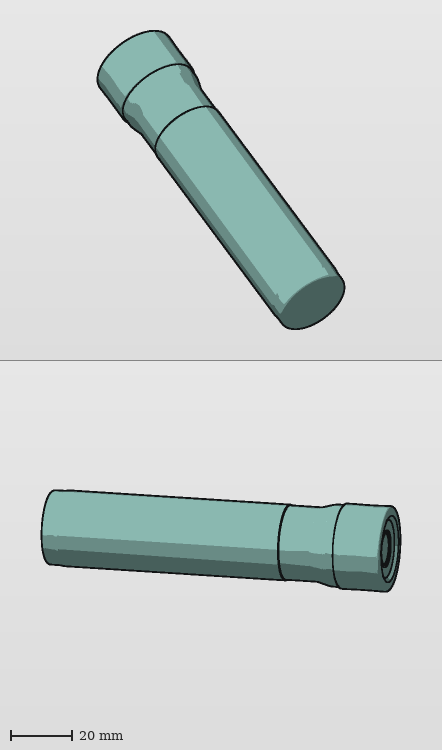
import cadquery as cq
import math

TOTAL_LENGTH = 115.0

RIM_RADIUS = 28.2 / 2
RIM_TAPER = 0.06
COLLAR_RADIUS = 27.0 / 2
NECK_RADIUS = 24.5 / 2
FRONT_EDGE_FILLET = 0.7
FRONT_BAND_END = 1.3
REAR_BAND_START = 13.1
RIM_END = 15.8
RIM_REAR_FILLET = 0.5
COLLAR_END = 18.3
TAPER_START = 19.7
TAPER_END = 23.1
NECK_START = 24.1
TAPER_ANGLE = math.radians(15)
JOINT = 34.4

RECESS_MOUTH_RADIUS = 10.9
RECESS_WALL_DEPTH = 1.0
DISH_RADIUS = 9.5
DISH_DEPTH = 0.2
RING_RADIUS = 6.8
RING_STEP_RADIUS = 6.1
RING_STEP = 0.1
POCKET_RADIUS = 5.4
POCKET_FLOOR_RADIUS = 5.2
POCKET_DEPTH = 0.5

BARREL_RADIUS = 25.0 / 2
BARREL_CHAMFER = BARREL_RADIUS - NECK_RADIUS
SHOULDER_START = 109.3
TAIL_START = 110.7
TAIL_FILLET = 1.0


def revolve_about_x(profile):
    """Close a half profile along the axis and turn it into a solid."""
    return profile.close().revolve(360, (0, 0, 0), (1, 0, 0))


def rounded_corner(profile, start, end, center):
    """Draw a line to start, then an arc around center to end."""
    radius = math.dist(start, center)
    toward_x = (start[0] + end[0]) / 2 - center[0]
    toward_y = (start[1] + end[1]) / 2 - center[1]
    scale = radius / math.hypot(toward_x, toward_y)
    middle = (center[0] + toward_x * scale, center[1] + toward_y * scale)
    return profile.lineTo(*start).threePointArc(middle, end)


def make_head_blank():
    rim_rear_radius = RIM_RADIUS - RIM_TAPER
    profile = cq.Workplane("XY").moveTo(0, 0)
    profile = rounded_corner(
        profile,
        (0, RIM_RADIUS - FRONT_EDGE_FILLET),
        (FRONT_EDGE_FILLET, RIM_RADIUS),
        (FRONT_EDGE_FILLET, RIM_RADIUS - FRONT_EDGE_FILLET),
    )
    profile = profile.lineTo(FRONT_BAND_END, RIM_RADIUS).lineTo(REAR_BAND_START, rim_rear_radius)
    profile = rounded_corner(
        profile,
        (RIM_END - RIM_REAR_FILLET, rim_rear_radius),
        (RIM_END, rim_rear_radius - RIM_REAR_FILLET),
        (RIM_END - RIM_REAR_FILLET, rim_rear_radius - RIM_REAR_FILLET),
    )
    front_blend = (TAPER_START - COLLAR_END) / math.sin(TAPER_ANGLE)
    rear_blend = (NECK_START - TAPER_END) / math.sin(TAPER_ANGLE)
    blend_drop = 1 - math.cos(TAPER_ANGLE)
    profile = rounded_corner(
        profile.lineTo(RIM_END, COLLAR_RADIUS),
        (COLLAR_END, COLLAR_RADIUS),
        (TAPER_START, COLLAR_RADIUS - front_blend * blend_drop),
        (COLLAR_END, COLLAR_RADIUS - front_blend),
    )
    profile = rounded_corner(
        profile,
        (TAPER_END, NECK_RADIUS + rear_blend * blend_drop),
        (NECK_START, NECK_RADIUS),
        (NECK_START, NECK_RADIUS + rear_blend),
    )
    return revolve_about_x(profile.lineTo(JOINT, NECK_RADIUS).lineTo(JOINT, 0))


def make_front_recess():
    ring_depth = RECESS_WALL_DEPTH + DISH_DEPTH
    step_depth = ring_depth + RING_STEP
    floor_depth = step_depth + POCKET_DEPTH
    return revolve_about_x(
        cq.Workplane("XY")
        .moveTo(0, 0)
        .lineTo(0, RECESS_MOUTH_RADIUS)
        .lineTo(RECESS_WALL_DEPTH, DISH_RADIUS)
        .lineTo(ring_depth, RING_RADIUS)
        .lineTo(ring_depth, RING_STEP_RADIUS)
        .lineTo(step_depth, RING_STEP_RADIUS)
        .lineTo(step_depth, POCKET_RADIUS)
        .lineTo(floor_depth, POCKET_FLOOR_RADIUS)
        .lineTo(floor_depth, 0)
    )


def make_head():
    return make_head_blank().cut(make_front_recess())


def make_barrel():
    profile = (
        cq.Workplane("XY")
        .moveTo(JOINT, 0)
        .lineTo(JOINT, NECK_RADIUS)
        .lineTo(JOINT + BARREL_CHAMFER, BARREL_RADIUS)
        .lineTo(SHOULDER_START, BARREL_RADIUS)
        .lineTo(TAIL_START, NECK_RADIUS)
    )
    profile = rounded_corner(
        profile,
        (TOTAL_LENGTH - TAIL_FILLET, NECK_RADIUS),
        (TOTAL_LENGTH, NECK_RADIUS - TAIL_FILLET),
        (TOTAL_LENGTH - TAIL_FILLET, NECK_RADIUS - TAIL_FILLET),
    )
    return revolve_about_x(profile.lineTo(TOTAL_LENGTH, 0))


head = make_head()
barrel = make_barrel()

result = cq.Compound.makeCompound([head.val(), barrel.val()])